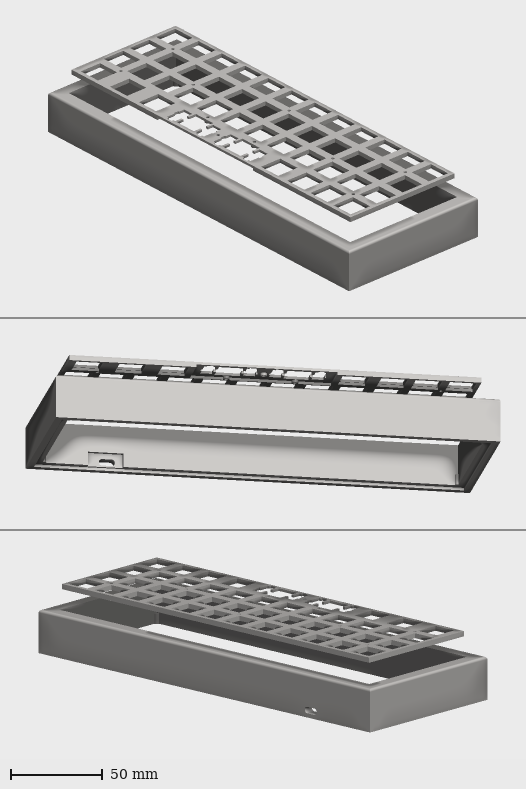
import cadquery as cq
key_columns = 12
key_rows = 4
plate_length = 228.5
key_pitch = plate_length / key_columns
plate_width = key_rows * key_pitch
plate_top = 39.0
plate_thickness = 3.0
plate_bottom = plate_top - plate_thickness
web_thickness = 1.5
web_bottom = plate_top - web_thickness

switch_size = 14.0
relief_margin = 0.5
relief_size = switch_size + 2 * relief_margin
bottom_row_key_widths = [1.25, 1.25, 1.25, 2, 2, 1.25, 1, 1, 1]

stabilizer_offset = 11.8
stabilizer_width = 6.7
stabilizer_top = 5.7
stabilizer_bottom = -7.0
bump_width = 3.7
bump_depth = 1.2
wing_depth = 0.7
wing_top = 2.0
wing_bottom = -1.0
bridge_top = 2.0
bridge_bottom = -2.2

screw_hole_diameter = 2.0
boss_diameter = 3.7

pocket_margin = 1.0

housing_length = 246.5
wall_clearance = 1.0
opening_length = plate_length + 2 * wall_clearance
opening_width = plate_width + 2 * wall_clearance
wall_thickness = (housing_length - opening_length) / 2
housing_width = opening_width + 2 * wall_thickness
housing_height = 24.5
top_edge_radius = 1.5

rebate_width = 4.0
rebate_height = 1.5

post_diameter = 3.7
post_top = 7.5

recess_center_x = -80.1
recess_width = 19.5
recess_height = 9.1
recess_depth = 2.2
connector_width = 9.0
connector_height = 3.7
connector_center_x = -79.2
connector_center_z = 4.2


def column_x(columns_from_left):
    return -plate_length / 2 + columns_from_left * key_pitch


def row_y(rows_from_front):
    return -plate_width / 2 + rows_from_front * key_pitch


def bottom_row_centers():
    """List (x, key width) for each key of the front row."""
    centers = []
    start = 0
    for width in bottom_row_key_widths:
        centers.append((column_x(start + width / 2), width))
        start += width
    return centers


def block(x_min, x_max, y_min, y_max, z_min, z_max):
    size = (x_max - x_min, y_max - y_min, z_max - z_min)
    return cq.Workplane("XY").box(*size, centered=False).translate((x_min, y_min, z_min))


def plate_cut(x_min, x_max, y_min, y_max):
    """Make a rectangular cutter through the full plate thickness."""
    return block(x_min, x_max, y_min, y_max, plate_bottom, plate_top)


front_row_y = row_y(0.5)
front_row = bottom_row_centers()
double_key_x = [x for x, width in front_row if width == 2]


def switch_centers():
    centers = [(x, front_row_y) for x, _ in front_row]
    for row in range(1, key_rows):
        centers += [(column_x(column + 0.5), row_y(row + 0.5)) for column in range(key_columns)]
    return centers


def screw_centers():
    centers = [(column_x(column), row_y(3)) for column in (1, 6, 11)]
    centers += [(column_x(column), row_y(2)) for column in (3, 9)]
    centers += [(column_x(column), row_y(1)) for column in (1, 11)]
    centers += [(x, row_y(1)) for x in double_key_x]
    centers.append((sum(double_key_x) / 2, front_row_y))
    return centers


def stabilizer_cutter(key_x):
    """Cut both stabilizer openings and the bridges that join them to the switch opening."""
    half_width = stabilizer_width / 2
    bridge_half = stabilizer_offset
    y = front_row_y
    cutter = plate_cut(key_x - bridge_half, key_x + bridge_half, y + bridge_bottom, y + bridge_top)
    for side in (-1, 1):
        x = key_x + side * stabilizer_offset
        cutter = cutter.union(
            plate_cut(x - half_width, x + half_width, y + stabilizer_bottom, y + stabilizer_top)
        )
        bump_y = y + stabilizer_bottom
        cutter = cutter.union(plate_cut(x - bump_width / 2, x + bump_width / 2, bump_y - bump_depth, bump_y))
        wing_x = x + side * (half_width + wing_depth)
        cutter = cutter.union(plate_cut(min(x, wing_x), max(x, wing_x), y + wing_bottom, y + wing_top))
    return cutter


def stabilizer_pocket():
    """Thin the plate from below around the stabilizers, leaving a boss at each screw hole."""
    pocket = block(
        double_key_x[0] - key_pitch - pocket_margin,
        double_key_x[-1] + key_pitch + pocket_margin,
        row_y(0),
        row_y(1) + pocket_margin,
        plate_bottom,
        web_bottom,
    )
    bosses = (
        cq.Workplane("XY", origin=(0, 0, plate_bottom))
        .pushPoints(screw_centers())
        .circle(boss_diameter / 2)
        .extrude(plate_thickness)
    )
    return pocket.cut(bosses)


def make_plate():
    plate = plate_cut(-plate_length / 2, plate_length / 2, -plate_width / 2, plate_width / 2)
    plate = plate.cut(stabilizer_pocket())
    workplane = cq.Workplane("XY", origin=(0, 0, plate_bottom))
    switches = workplane.pushPoints(switch_centers()).rect(switch_size, switch_size)
    plate = plate.cut(switches.extrude(plate_thickness))
    reliefs = workplane.pushPoints(switch_centers()).rect(relief_size, relief_size)
    plate = plate.cut(reliefs.extrude(plate_thickness - web_thickness))
    for key_x in double_key_x:
        plate = plate.cut(stabilizer_cutter(key_x))
    screws = workplane.pushPoints(screw_centers()).circle(screw_hole_diameter / 2)
    return plate.cut(screws.extrude(plate_thickness))


def make_housing():
    housing = (
        cq.Workplane("XY")
        .rect(housing_length, housing_width)
        .extrude(housing_height)
        .faces(">Z")
        .edges()
        .fillet(top_edge_radius)
    )
    opening = cq.Workplane("XY").rect(opening_length, opening_width).extrude(housing_height)
    housing = housing.cut(opening)
    rebate_length = opening_length + 2 * rebate_width
    rebate = cq.Workplane("XY").rect(rebate_length, opening_width + 2 * rebate_width)
    housing = housing.cut(rebate.extrude(rebate_height))
    posts = (
        cq.Workplane("XY", origin=(0, 0, rebate_height))
        .rect(opening_length, opening_width, forConstruction=True)
        .vertices()
        .circle(post_diameter / 2)
        .extrude(post_top - rebate_height)
    )
    housing = housing.union(posts)
    inner_back_y = opening_width / 2
    recess = block(
        recess_center_x - recess_width / 2,
        recess_center_x + recess_width / 2,
        inner_back_y,
        inner_back_y + recess_depth,
        0,
        recess_height,
    )
    connector_hole = (
        cq.Workplane("XZ", origin=(connector_center_x, inner_back_y, connector_center_z))
        .slot2D(connector_width, connector_height)
        .extrude(-wall_thickness)
    )
    return housing.cut(recess).cut(connector_hole)


housing = make_housing()
plate = make_plate()

result = cq.Compound.makeCompound([housing.val(), plate.val()])